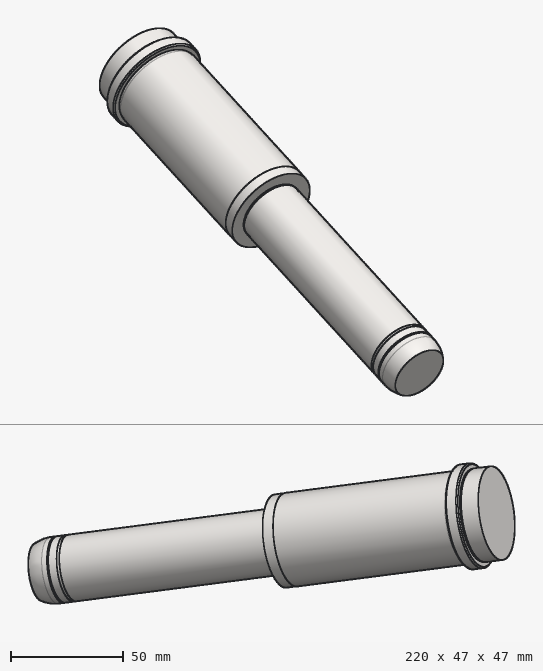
import cadquery as cq

length = 220.0
body_diameter = 42.0
collar_diameter = 47.0
shank_diameter = 30.0
tip_diameter = 26.0

collar_start = 9.0
collar_end = 15.0
body_relief_end = 16.3
body_pilot_start = 98.8
body_end = 103.8
nose_start = 212.7

collar_chamfer = 0.7
relief_depth = 0.33
head_relief_width = 0.7
pilot_step = 0.09
neck_width = 0.7
neck_depth = 0.09
groove_depth = 0.09
shank_grooves = [(204.2, 1.3), (209.5, 0.7)]

body_radius = body_diameter / 2
collar_radius = collar_diameter / 2
shank_radius = shank_diameter / 2
tip_radius = tip_diameter / 2


def rod(start, end, radius):
    """Solid cylinder along X between two axial positions."""
    return cq.Workplane("YZ").workplane(offset=start).circle(radius).extrude(end - start)


def ring_groove(start, width, outer_radius, depth):
    """Cutting ring for a square groove around the axis."""
    outside = rod(start, start + width, outer_radius + depth)
    return outside.cut(rod(start, start + width, outer_radius - depth))


def make_body():
    """Large cylinder with reliefs beside the collar and a fine pilot step."""
    relief_radius = body_radius - relief_depth
    pilot_radius = body_radius - pilot_step
    head_end = collar_start - head_relief_width
    outline = [
        (0, 0),
        (0, body_radius),
        (head_end, body_radius),
        (head_end, relief_radius),
        (collar_end, relief_radius),
        (body_relief_end, body_radius),
        (body_pilot_start, body_radius),
        (body_pilot_start, pilot_radius),
        (body_end, pilot_radius),
        (body_end, 0),
    ]
    return cq.Workplane("XY").polyline(outline).close().revolve(360, (0, 0, 0), (1, 0, 0))


def make_collar():
    """Collar with both outer edges chamfered."""
    return rod(collar_start, collar_end, collar_radius).edges().chamfer(collar_chamfer)


def make_shank():
    """Slim rod with a nose curving smoothly in towards the tip."""
    return (
        cq.Workplane("XY")
        .moveTo(body_end, 0)
        .lineTo(body_end, shank_radius)
        .lineTo(nose_start, shank_radius)
        .tangentArcPoint((length, tip_radius), relative=False)
        .lineTo(length, 0)
        .close()
        .revolve(360, (0, 0, 0), (1, 0, 0))
    )


shank = make_shank().cut(ring_groove(body_end, neck_width, shank_radius, neck_depth))
for groove_start, groove_width in shank_grooves:
    shank = shank.cut(ring_groove(groove_start, groove_width, shank_radius, groove_depth))

result = make_body().union(make_collar()).union(shank)